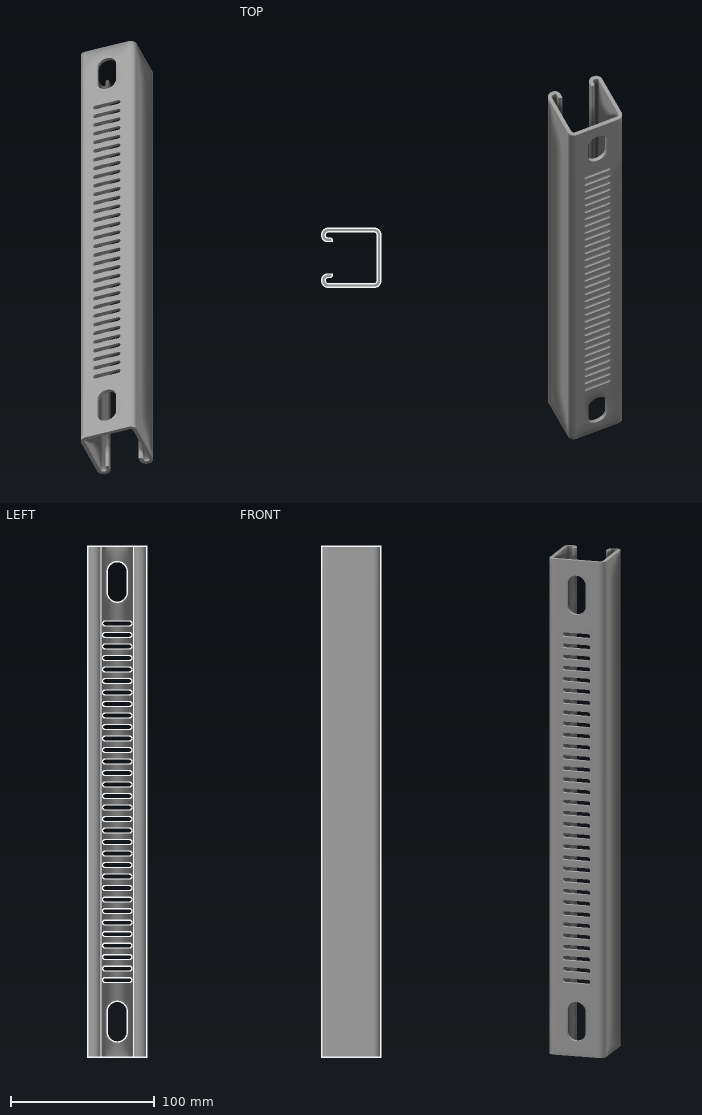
import cadquery as cq
import math


length = 355.5
depth = 41.2
width = 41.2
wall = 2.65
bend_radius = 4.5
curl_radius = 4.3
mouth = 22.5
lip_reach = 7.5
lip_chamfer = 1.0

slot_count = 32
slot_pitch = 8.0
slot_length = 20.3
slot_height = 3.2

hole_length = 28.0
hole_width = 14.0
hole_from_end = 25.0

front_x = -depth / 2
back_x = depth / 2
inner_back_x = back_x - wall
half_width = width / 2
half_inner = half_width - wall
half_mouth = mouth / 2
lip_inner_y = half_mouth + wall
lip_tip_x = front_x + lip_reach

inner_bend_radius = bend_radius - wall
bend_y = half_width - bend_radius
curl_y = half_mouth + curl_radius
inner_curl_radius = curl_radius - wall
diagonal = math.sqrt(0.5)


def arc_point(center, radius, toward_x, toward_y):
    """Point halfway round a quarter arc that bulges toward the given corner."""
    return (center[0] + toward_x * radius * diagonal, center[1] + toward_y * radius * diagonal)


def half_section():
    """The +Y half of the channel section, ending on the XZ plane."""
    back_bend = (back_x - bend_radius, bend_y)
    front_bend = (front_x + bend_radius, bend_y)
    curl = (front_x + curl_radius, curl_y)
    return (
        cq.Workplane("XY")
        .moveTo(back_x, 0)
        .lineTo(back_x, back_bend[1])
        .threePointArc(arc_point(back_bend, bend_radius, 1, 1), (back_bend[0], half_width))
        .lineTo(front_bend[0], half_width)
        .threePointArc(arc_point(front_bend, bend_radius, -1, 1), (front_x, bend_y))
        .lineTo(front_x, curl_y)
        .threePointArc(arc_point(curl, curl_radius, -1, -1), (curl[0], half_mouth))
        .lineTo(lip_tip_x, half_mouth)
        .lineTo(lip_tip_x, lip_inner_y - lip_chamfer)
        .lineTo(lip_tip_x - lip_chamfer, lip_inner_y)
        .lineTo(curl[0], lip_inner_y)
        .threePointArc(arc_point(curl, inner_curl_radius, -1, -1), (front_x + wall, curl_y))
        .lineTo(front_x + wall, bend_y)
        .threePointArc(arc_point(front_bend, inner_bend_radius, -1, 1), (front_bend[0], half_inner))
        .lineTo(back_bend[0], half_inner)
        .threePointArc(arc_point(back_bend, inner_bend_radius, 1, 1), (inner_back_x, back_bend[1]))
        .lineTo(inner_back_x, 0)
        .close()
    )


def make_channel():
    half = half_section().extrude(length)
    return half.union(half.mirror("XZ"))


def web_plane():
    """Sketch plane on the inner web face, with local axes along Y and Z."""
    return cq.Workplane("YZ", origin=(inner_back_x, 0, 0))


def make_slots():
    middle = (slot_count - 1) / 2
    centers = [(0, length / 2 + (i - middle) * slot_pitch) for i in range(slot_count)]
    return web_plane().pushPoints(centers).slot2D(slot_length, slot_height).extrude(wall)


def make_mounting_holes():
    centers = [(0, hole_from_end), (0, length - hole_from_end)]
    return web_plane().pushPoints(centers).slot2D(hole_length, hole_width, 90).extrude(wall)


result = make_channel().cut(make_slots()).cut(make_mounting_holes())